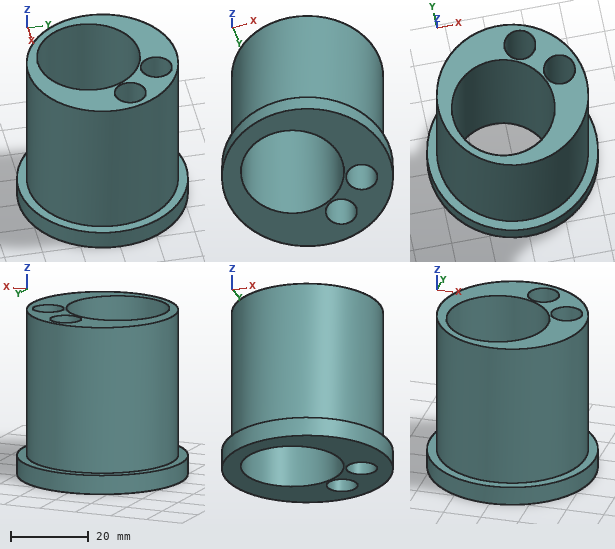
import cadquery as cq
import math

total_height = 43.5
flange_diameter = 44.0
flange_height = 5.0
barrel_diameter = 39.0

diagonal_angle = 45.0
main_bore_diameter = 26.5
main_bore_offset = 4.25
side_hole_diameter = 8.0
side_hole_radius = 13.95
side_hole_half_spread = 26.0


def through_hole(diameter, radius, angle):
    """Full-height vertical cutter at a polar position about the barrel axis."""
    x = radius * math.cos(math.radians(angle))
    y = radius * math.sin(math.radians(angle))
    return cq.Workplane("XY").center(x, y).circle(diameter / 2).extrude(total_height)


flange = cq.Workplane("XY").circle(flange_diameter / 2).extrude(flange_height)
barrel = cq.Workplane("XY").circle(barrel_diameter / 2).extrude(total_height)
body = barrel.union(flange)

body = body.cut(through_hole(main_bore_diameter, main_bore_offset, diagonal_angle + 180))

for side in (-1, 1):
    hole_angle = diagonal_angle + side * side_hole_half_spread
    body = body.cut(through_hole(side_hole_diameter, side_hole_radius, hole_angle))

result = body